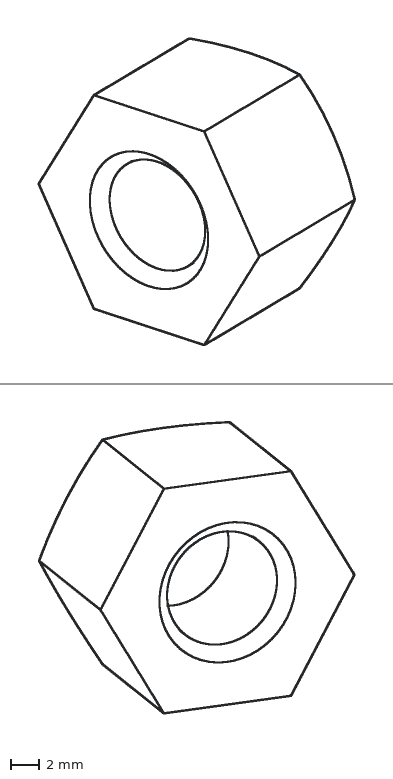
import cadquery as cq
import math

across_corners = 19.63
length = 14.0
dome_radius = 20.0
bore_diameter = 8.5
bore_depth = 10.01
countersink_diameter = 10.52
countersink_angle = 90.0

bore_radius = bore_diameter / 2
countersink_radius = countersink_diameter / 2
countersink_depth = (countersink_radius - bore_radius) / math.tan(math.radians(countersink_angle / 2))


def hexagonal_body():
    """Hexagonal prism with two corners on the X axis and the open face at Y = 0."""
    return cq.Workplane("XZ").polygon(6, across_corners).extrude(-length)


def dome():
    """Sphere whose +Y pole is the crown of the nut."""
    return cq.Workplane("XY").sphere(dome_radius).translate((0, length - dome_radius, 0))


def countersunk_bore():
    """Blind flat-bottomed bore with a conical mouth, revolved about the Y axis."""
    return (
        cq.Workplane("XY")
        .moveTo(0, 0)
        .lineTo(countersink_radius, 0)
        .lineTo(bore_radius, countersink_depth)
        .lineTo(bore_radius, bore_depth)
        .lineTo(0, bore_depth)
        .close()
        .revolve(360, (0, 0, 0), (0, 1, 0))
    )


result = hexagonal_body().intersect(dome()).cut(countersunk_bore())